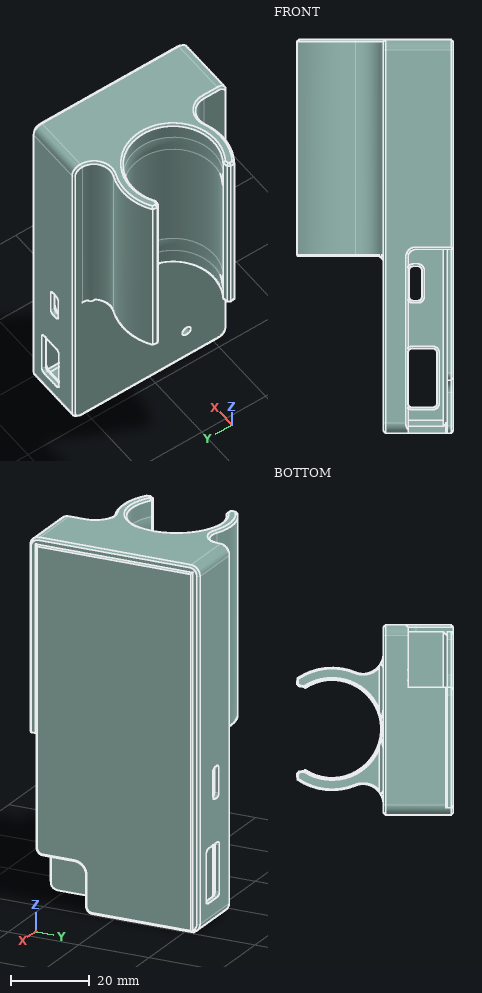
import cadquery as cq
import math

case_depth = 17.8
case_width = 48.3
case_height = 99.9
corner_radius = 2.65
edge_bevel = 0.6
wall = 1.8
front_plate = 6.3
lid_thickness = 1.6

ledge = 0.95
floor_bevel = 1.5
floor_lid_gap = 0.3

window_top = 46.7
window_radius = 2.0

screw_diameter = 2.7
screw_y = -11.4
screw_z = 10.4
notch_radius = 3.1
lid_corner_radius = 1.9

slot_radius = 1.0
slot_bevel = 0.6
small_slot = (6.6, 9.8, 33.7, 42.4)
large_slot = (front_plate, 13.6, 6.6, 21.5)

clip_x = -13.0
clip_y = 2.3
clip_bottom = 45.0
clip_outer_radius = 15.6
clip_bore_radius = 12.7
clip_root_radius = 5.1
tip_angle = math.radians(128)
tip_bevel = 1.0
bottom_bevel = 0.3
root_bevel = 1.0

bead_height = 4.8
bead_rise = 0.3
bead_offset = 7.3

half_width = case_width / 2
inner_half_width = half_width - wall
lid_x = case_depth - lid_thickness
notch_y = screw_y + notch_radius
notch_z = screw_z + notch_radius
clip_height = case_height - clip_bottom

overlap = 2.0

bore_end = tip_angle - tip_bevel / clip_bore_radius

root_rise = math.sqrt(
    (clip_outer_radius + clip_root_radius) ** 2 - (clip_x + clip_root_radius) ** 2
)
root_angle = math.atan2(root_rise, -clip_root_radius - clip_x)
root_y = clip_y + root_rise


def block(x0, x1, y0, y1, z0, z1):
    """Box given by its limits along each axis."""
    return cq.Workplane("XY").box(x1 - x0, y1 - y0, z1 - z0, centered=False).translate((x0, y0, z0))


def polar(radius, angle):
    """Point at a radius and angle around the clip axis."""
    return (clip_x + radius * math.cos(angle), clip_y + radius * math.sin(angle))


def make_case_box():
    return (
        cq.Workplane("YZ")
        .center(0, case_height / 2)
        .rect(case_width, case_height)
        .extrude(case_depth)
        .edges("|X")
        .fillet(corner_radius)
        .faces("<X or >X")
        .edges()
        .chamfer(edge_bevel)
    )


def clip_outline():
    """Closed clip section: two arms, rounded roots and a back buried in the case."""

    def mirrored(point):
        return (point[0], 2 * clip_y - point[1])

    root_start = (0, root_y)
    root_mid_angle = (root_angle + 3 * math.pi) / 2
    root_mid = (
        -clip_root_radius + clip_root_radius * math.cos(root_mid_angle),
        root_y + clip_root_radius * math.sin(root_mid_angle),
    )
    outer_end = tip_angle - tip_bevel / clip_outer_radius
    arm_start = polar(clip_outer_radius, root_angle)
    arm_mid = polar(clip_outer_radius, (root_angle + outer_end) / 2)

    tip_outer = polar(clip_outer_radius, outer_end)
    tip_face_outer = polar(clip_outer_radius - tip_bevel, tip_angle)
    tip_face_inner = polar(clip_bore_radius + tip_bevel, tip_angle)
    tip_inner = polar(clip_bore_radius, bore_end)
    return (
        cq.Workplane("XY", origin=(0, 0, clip_bottom))
        .moveTo(overlap, root_y)
        .lineTo(*root_start)
        .threePointArc(root_mid, arm_start)
        .threePointArc(arm_mid, tip_outer)
        .lineTo(*tip_face_outer)
        .lineTo(*tip_face_inner)
        .lineTo(*tip_inner)
        .threePointArc(polar(clip_bore_radius, 0), mirrored(tip_inner))
        .lineTo(*mirrored(tip_face_inner))
        .lineTo(*mirrored(tip_face_outer))
        .lineTo(*mirrored(tip_outer))
        .threePointArc(mirrored(arm_mid), mirrored(arm_start))
        .threePointArc(mirrored(root_mid), mirrored(root_start))
        .lineTo(overlap, mirrored(root_start)[1])
        .close()
    )


def make_clip():
    """Clip tube with bevelled rims; the edges buried in the case stay sharp."""
    exposed = cq.selectors.InverseSelector(
        cq.selectors.BoxSelector(
            (overlap / 4, -case_width, 0),
            (case_depth, case_width, 2 * case_height),
        )
    )
    tube = clip_outline().extrude(clip_height)
    tube = tube.faces(">Z").edges(exposed).chamfer(edge_bevel)
    return tube.faces("<Z").edges(exposed).chamfer(bottom_bevel)


def make_bead(z):
    """Shallow ring that narrows the bore, rounded along its height."""
    sweep = 2 * math.degrees(bore_end)
    ring = (
        cq.Workplane("XZ")
        .moveTo(clip_bore_radius + bead_rise, -bead_height / 2)
        .lineTo(clip_bore_radius, -bead_height / 2)
        .threePointArc((clip_bore_radius - bead_rise, 0), (clip_bore_radius, bead_height / 2))
        .lineTo(clip_bore_radius + bead_rise, bead_height / 2)
        .close()
        .revolve(sweep, (0, 0, 0), (0, 1, 0))
    )
    return ring.rotate((0, 0, 0), (0, 0, 1), -sweep / 2).translate((clip_x, clip_y, z))


def make_root_bevels():
    """45 degree supports below the clip, one on each side of the bore, with mitred ends."""
    rim_bore = clip_bore_radius + bottom_bevel
    rim_root = clip_root_radius + bottom_bevel

    def inner_end(x):
        return math.sqrt(rim_bore**2 - (x - clip_x) ** 2)

    def outer_end(x):
        return root_rise - math.sqrt(rim_root**2 - (x + clip_root_radius) ** 2)

    low_z = clip_bottom - root_bevel
    high_z = clip_bottom + bottom_bevel
    face_corners = [
        (inner_end(0), high_z),
        (inner_end(0), clip_bottom),
        (inner_end(-root_bevel), low_z),
        (outer_end(-root_bevel), low_z),
        (outer_end(0), clip_bottom),
        (outer_end(0), high_z),
    ]
    slope = (
        cq.Workplane("XZ", origin=(0, case_width, 0))
        .polyline(
            [
                (overlap, low_z),
                (0, low_z),
                (-root_bevel, clip_bottom),
                (-root_bevel, high_z),
                (overlap, high_z),
            ]
        )
        .close()
        .extrude(2 * case_width)
    )
    section = clip_outline().extrude(root_bevel + bottom_bevel).translate((0, 0, -root_bevel))
    bevels = []
    for side in (1, -1):
        face = [(clip_y + side * y, z) for y, z in face_corners]
        support = (
            cq.Workplane("YZ", origin=(-root_bevel, 0, 0))
            .polyline(face)
            .close()
            .extrude(root_bevel + overlap)
        )
        bevels.append(support.intersect(slope).intersect(section))
    return bevels


def make_cavity():
    """Room behind the front plate, narrowed by a sloped ledge below the lid."""
    cavity_height = case_height - 2 * wall
    room = (
        block(front_plate, lid_x - ledge, -inner_half_width, inner_half_width, wall, case_height - wall)
        .edges("|X and <Z and >Y")
        .chamfer(floor_bevel)
    )
    funnel = (
        cq.Workplane("YZ", origin=(lid_x - ledge, 0, 0))
        .center(0, wall + cavity_height / 2)
        .rect(2 * inner_half_width, cavity_height)
        .extrude(ledge, taper=45)
    )
    return room.union(funnel)


def make_window():
    """Cable opening in the -Y wall, with a bevelled outer rim."""

    def opening(y):
        bend = window_radius * (1 - math.sqrt(0.5))
        return (
            cq.Workplane("XZ", origin=(0, y, 0))
            .moveTo(front_plate, -overlap)
            .lineTo(front_plate, window_top - window_radius)
            .threePointArc(
                (front_plate + bend, window_top - bend),
                (front_plate + window_radius, window_top),
            )
            .lineTo(case_depth + overlap, window_top)
            .lineTo(case_depth + overlap, -overlap)
            .close()
        )

    through = opening(ledge - inner_half_width).extrude(wall + ledge)
    rim = opening(-half_width + edge_bevel).extrude(edge_bevel, taper=-45)
    return through.union(rim)


def make_slot(x_start, x_end, z_start, z_end):
    """Connector opening in the +Y wall, flared towards the cavity."""
    width = x_end - x_start
    height = z_end - z_start
    centre_x = (x_start + x_end) / 2
    centre_z = (z_start + z_end) / 2

    def outline(y):
        sketch = cq.Sketch().rect(width, height).vertices().fillet(slot_radius)
        return cq.Workplane("XZ", origin=(centre_x, y, centre_z)).placeSketch(sketch)

    through = outline(half_width).extrude(wall)
    flare = outline(inner_half_width + slot_bevel).extrude(slot_bevel, taper=-45)
    return through.union(flare)


def make_lid_seat():
    return block(lid_x, case_depth, -inner_half_width, inner_half_width, 0, case_height - wall)


def make_lid():
    """Plate flush with the +X face, notched around the screw axis."""
    bend = 1 - math.sqrt(0.5)
    notch_bend = notch_radius * bend
    corner_bend = lid_corner_radius * bend
    return (
        cq.Workplane("YZ", origin=(lid_x, 0, 0))
        .moveTo(inner_half_width, 0)
        .lineTo(inner_half_width, case_height - wall)
        .lineTo(-inner_half_width, case_height - wall)
        .lineTo(-inner_half_width, notch_z + lid_corner_radius)
        .threePointArc(
            (-inner_half_width + corner_bend, notch_z + corner_bend),
            (-inner_half_width + lid_corner_radius, notch_z),
        )
        .lineTo(notch_y - notch_radius, notch_z)
        .threePointArc((notch_y - notch_bend, notch_z - notch_bend), (notch_y, notch_z - notch_radius))
        .lineTo(notch_y, lid_corner_radius)
        .threePointArc((notch_y + corner_bend, corner_bend), (notch_y + lid_corner_radius, 0))
        .close()
        .extrude(lid_thickness)
        .faces(">X")
        .edges()
        .chamfer(edge_bevel)
    )


def make_floor_cut():
    """Takes the floor away below the screw notch and clears it from the lid."""
    notch = block(front_plate, case_depth, -half_width, notch_y, -overlap, wall + ledge)
    lid_entry = block(lid_x - floor_lid_gap, case_depth, -inner_half_width, inner_half_width, -overlap, wall + ledge)
    return notch.union(lid_entry)


def make_screw_hole():
    return (
        cq.Workplane("YZ")
        .center(screw_y, screw_z)
        .circle(screw_diameter / 2)
        .extrude(front_plate)
    )


def make_housing():
    housing = make_case_box().union(make_clip())
    for bead_z in (clip_bottom + bead_offset, case_height - bead_offset):
        housing = housing.union(make_bead(bead_z))
    for support in make_root_bevels():
        housing = housing.union(support)
    housing = housing.cut(make_cavity())
    housing = housing.cut(make_lid_seat())
    housing = housing.cut(make_window())
    housing = housing.cut(make_floor_cut())
    for limits in (small_slot, large_slot):
        housing = housing.cut(make_slot(*limits))
    return housing.cut(make_screw_hole())


housing = make_housing()
lid = make_lid()
result = cq.Compound.makeCompound([housing.val(), lid.val()])